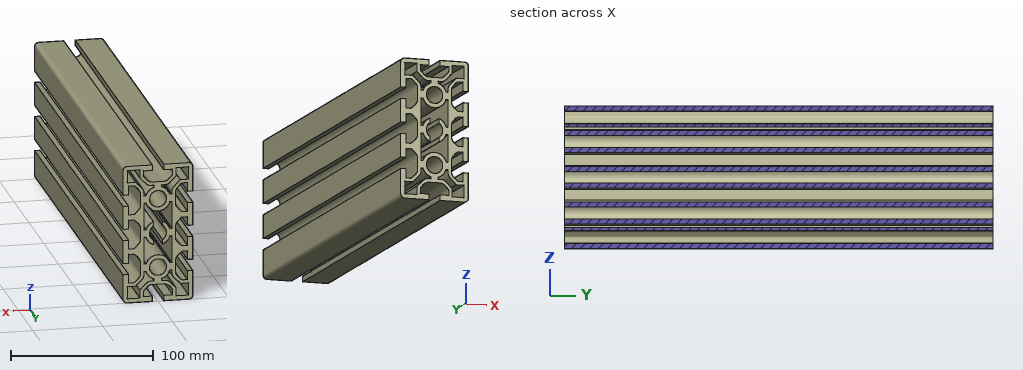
import cadquery as cq

WIDTH = 50.0
LENGTH = 300.0
HEIGHT = 100.0
CORNER_RADIUS = 3.0

SLOT_PITCH = 25.0
SLOT_HEIGHTS = (-SLOT_PITCH, 0, SLOT_PITCH)
SLOT_OPENING = 8.2
SLOT_DEPTH = 12.5
LIP_THICKNESS = 4.0
POCKET_WIDTH = 21.0
POCKET_CHAMFER = 4.5
POCKET_FLOOR_RADIUS = 5.0
POCKET_WALL_RADIUS = 2.0

OUTER_WALL = 3.1
POCKET_WALL = 2.5
SHELL_CHAMFER = 6.0
SHELL_RADIUS = 5.0

TUBE_BORE_RADIUS = 6.0
TUBE_OUTER_RADIUS = 9.0
TUBE_WEB_WIDTH = 5.5
SPLIT_TUBE_GAP = 6.5

HALF_WIDTH = WIDTH / 2
HALF_HEIGHT = HEIGHT / 2
SHELL_DEPTH = SLOT_DEPTH + POCKET_WALL
CORE_HALF_WIDTH = HALF_WIDTH - SHELL_DEPTH
CORE_HALF_HEIGHT = HALF_HEIGHT - SHELL_DEPTH


def bar(half_width, z_bottom, z_top):
    """Full-length rectangular bar, centred on x = 0."""
    height = z_top - z_bottom
    center = (0, 0, (z_bottom + z_top) / 2)
    return cq.Workplane("XY").box(2 * half_width, LENGTH, height).translate(center)


def rod(radius, z):
    """Full-length round bar centred at height z."""
    return cq.Workplane("XZ").center(0, z).circle(radius).extrude(LENGTH / 2, both=True)


def on_both_sides(body):
    """The body together with its mirror image on the opposite side."""
    return body.union(body.mirror("YZ"))


def on_both_ends(body):
    """The body together with its mirror image at the opposite end of the height."""
    return body.union(body.mirror("XY"))


def facing_side(body, z):
    """Turn a body that opens upward at z = 0 to open on the +X side at height z."""
    return body.rotate((0, 0, 0), (0, 1, 0), 90).translate((HALF_WIDTH, 0, z))


def facing_top(body):
    """Move a body that opens upward at z = 0 to the top of the part."""
    return body.translate((0, 0, HALF_HEIGHT))


def slot():
    """Space of one T-slot, opening upward at z = 0."""
    pocket = bar(POCKET_WIDTH / 2, -SLOT_DEPTH, -LIP_THICKNESS)
    pocket = pocket.edges("|Y and <Z").chamfer(POCKET_CHAMFER)
    pocket = pocket.edges("|Y exc (<Z or >Z)").fillet(POCKET_WALL_RADIUS)
    pocket = pocket.edges("|Y and <Z").fillet(POCKET_FLOOR_RADIUS)
    return pocket.union(bar(SLOT_OPENING / 2, -LIP_THICKNESS, 0))


def slot_shell():
    """Solid envelope of one T-slot, reaching one wall thickness around its pocket."""
    shell = bar(POCKET_WIDTH / 2 + POCKET_WALL, -SHELL_DEPTH, 0)
    shell = shell.edges("|Y and <Z").chamfer(SHELL_CHAMFER)
    return shell.edges("|Y and <Z").fillet(SHELL_RADIUS)


def inner_space():
    """Everything inside the outer walls that lies clear of the slot envelopes."""
    space_half_height = HALF_HEIGHT - OUTER_WALL
    space = bar(HALF_WIDTH - OUTER_WALL, -space_half_height, space_half_height)
    side_wall = facing_side(bar(SLOT_PITCH, -SHELL_DEPTH, 0), 0)
    side_shell = on_both_ends(facing_side(slot_shell(), SLOT_PITCH)).union(side_wall)
    end_shell = facing_top(slot_shell())
    return space.cut(on_both_sides(side_shell)).cut(on_both_ends(end_shell))


def tubes():
    """Two screw tubes and a split one between them, tied to the slot walls by webs."""
    half_web = TUBE_WEB_WIDTH / 2
    body = on_both_ends(bar(half_web, SLOT_PITCH, CORE_HALF_HEIGHT))
    for z in SLOT_HEIGHTS:
        body = body.union(rod(TUBE_OUTER_RADIUS, z))
        body = body.union(bar(CORE_HALF_WIDTH, z - half_web, z + half_web))
    for z in SLOT_HEIGHTS:
        body = body.cut(rod(TUBE_BORE_RADIUS, z))
    return body.cut(bar(SPLIT_TUBE_GAP / 2, -TUBE_OUTER_RADIUS, TUBE_OUTER_RADIUS))


def slots():
    """All eight T-slots."""
    body = on_both_ends(facing_top(slot()))
    for z in SLOT_HEIGHTS:
        body = body.union(on_both_sides(facing_side(slot(), z)))
    return body


blank = bar(HALF_WIDTH, -HALF_HEIGHT, HALF_HEIGHT).edges("|Y").fillet(CORNER_RADIUS)
result = blank.cut(inner_space()).union(tubes()).cut(slots())